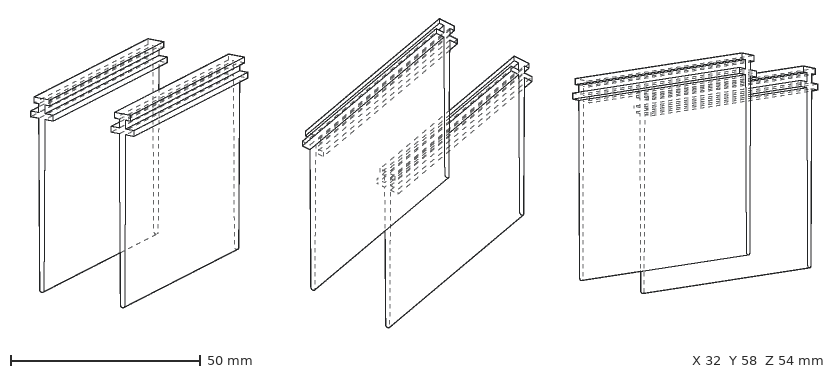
import cadquery as cq

blade_length = 58.0
blade_height = 54.0
blade_spacing = 25.0
blade_count = 2

head_width = 5.0
flange_width = 7.0
bar_thickness = 1.6
neck_height = 2.45

web_top_width = 2.0
web_tip_width = 1.4

head_bottom = blade_height - bar_thickness
flange_top = head_bottom - neck_height
flange_bottom = flange_top - bar_thickness
tip_radius = web_tip_width / 2


def centred_bar(width, bottom, top):
    """Rectangular bar spanning the blade length, centred on X = 0 and Y = 0."""
    height = top - bottom
    return cq.Workplane("XY").box(width, blade_length, height).translate((0, 0, bottom + height / 2))


def tapered_web():
    """Thin plate below the flange with a round lower edge."""
    return (
        cq.Workplane("XZ")
        .moveTo(-web_top_width / 2, flange_bottom)
        .lineTo(-tip_radius, tip_radius)
        .threePointArc((0, 0), (tip_radius, tip_radius))
        .lineTo(web_top_width / 2, flange_bottom)
        .close()
        .extrude(blade_length / 2, both=True)
    )


def make_blade(x_position):
    """One blade: web, flange, neck and head in a single solid."""
    head = centred_bar(head_width, head_bottom, blade_height)
    neck = centred_bar(web_top_width, flange_top, head_bottom)
    flange = centred_bar(flange_width, flange_bottom, flange_top)
    blade = tapered_web().union(flange).union(neck).union(head)
    return blade.translate((x_position, 0, 0))


first_blade_x = -blade_spacing * (blade_count - 1) / 2
blades = [make_blade(first_blade_x + index * blade_spacing) for index in range(blade_count)]

result = cq.Compound.makeCompound([blade.val() for blade in blades])